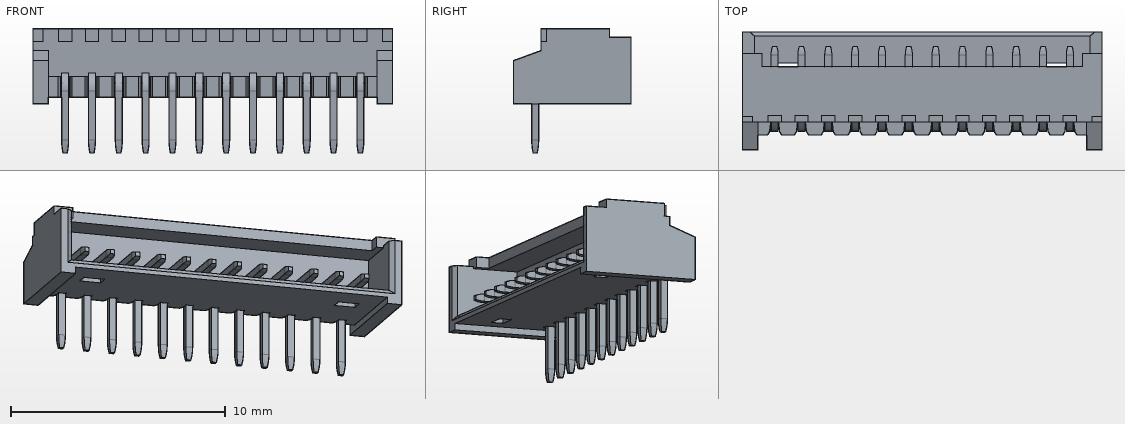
import cadquery as cq


length = 16.75
depth = 5.5
height = 3.5
floor_bottom = 0.3
front_face_y = 1.29

plate_thickness = 0.72
arm_front_height = 2.01
arm_root_height = 2.48
rear_step_depth = 1.0
rear_step_height = 0.4

side_wall = 0.57
front_wall = 1.0
floor_thickness = 0.4
roof_thickness = 0.5
mouth_chamfer_depth = 0.2
mouth_chamfer_width = 0.23
roof_setback = 1.62
roof_tab_width = 0.92

pin_count = 12
pin_row_length = 13.75
pitch = pin_row_length / (pin_count - 1)
pin_size = 0.34
pin_drop = 2.3
pin_front_y = 0.85
bend_start_z = 0.6
bend_outer_radius = 1.0
pin_end_gap = 0.69
tip_size = 0.2
mating_tip_length = 0.4
board_tip_length = 0.6

notch_width = 0.62
notch_depth = 0.3
notch_height = 0.6
corner_notch_width = 0.47
corner_notch_depth = 0.27

rib_top = 1.27
rib_depth = 0.6
rib_draft_depth = 0.44
gap_root_width = 0.35
gap_neck_width = 0.45
gap_mouth_width = 0.65

window_width = 1.0
window_length = 0.6
window_setback = 1.45

half_length = length / 2
cavity_floor_z = floor_bottom + floor_thickness
pin_positions = [(i - (pin_count - 1) / 2) * pitch for i in range(pin_count)]


def box(x_min, x_max, y_min, y_max, z_min, z_max):
    size = (x_max - x_min, y_max - y_min, z_max - z_min)
    return cq.Workplane("XY").box(*size, centered=False).translate((x_min, y_min, z_min))


def side_profile(points, x_min, x_max):
    """Closed (y, z) outline extruded along X."""
    return cq.Workplane("YZ", origin=(x_min, 0, 0)).polyline(points).close().extrude(x_max - x_min)


def end_plate(x_min):
    outline = [
        (0, 0),
        (depth, 0),
        (depth, height - rear_step_height),
        (depth - rear_step_depth, height - rear_step_height),
        (depth - rear_step_depth, height),
        (front_face_y, height),
        (front_face_y, arm_root_height),
        (0, arm_front_height),
    ]
    return side_profile(outline, x_min, x_min + plate_thickness)


def cavity():
    """Pocket open at the +Y face, its mouth flared at the floor and the side walls."""
    inner_y = front_face_y + front_wall
    half_width = half_length - side_wall
    flare_y = depth - mouth_chamfer_depth
    flared_half_width = half_width + mouth_chamfer_width
    plan = (
        cq.Workplane("XY")
        .polyline([
            (-half_width, inner_y),
            (half_width, inner_y),
            (half_width, flare_y),
            (flared_half_width, depth),
            (-flared_half_width, depth),
            (-half_width, flare_y),
        ])
        .close()
        .extrude(height)
    )
    ceiling_z = height - roof_thickness
    roof_end_y = depth - rear_step_depth
    section = side_profile(
        [
            (inner_y, cavity_floor_z),
            (flare_y, cavity_floor_z),
            (depth, cavity_floor_z - mouth_chamfer_depth),
            (depth, height),
            (roof_end_y, height),
            (roof_end_y, ceiling_z),
            (inner_y, ceiling_z),
        ],
        -half_length,
        half_length,
    )
    return plan.intersect(section)


def roof_cutback():
    half_width = half_length - roof_tab_width
    roof_bottom = height - roof_thickness
    return box(-half_width, half_width, depth - roof_setback, depth, roof_bottom, height)


def roof_notch(x_min, x_max, notch_y_depth):
    return box(x_min, x_max, front_face_y, front_face_y + notch_y_depth, height - notch_height, height)


def floor_window(x_center):
    window_end_y = depth - window_setback
    return box(
        x_center - window_width / 2,
        x_center + window_width / 2,
        window_end_y - window_length,
        window_end_y,
        floor_bottom,
        cavity_floor_z,
    )


def rib_bar():
    half_width = half_length - plate_thickness
    return box(-half_width, half_width, front_face_y - rib_depth, front_face_y, floor_bottom, rib_top)


def rib_gap(x_center):
    """Gap around a pin, slightly drafted at the wall and flared at the front."""
    neck_y = front_face_y - rib_draft_depth
    mouth_y = front_face_y - rib_depth
    right_side = [
        (gap_root_width / 2, front_face_y),
        (gap_neck_width / 2, neck_y),
        (gap_mouth_width / 2, mouth_y),
    ]
    left_side = [(-x, y) for x, y in reversed(right_side)]
    return (
        cq.Workplane("XY", origin=(x_center, 0, floor_bottom))
        .polyline(right_side + left_side)
        .close()
        .extrude(rib_top - floor_bottom)
    )


def pin_tip(tip_length):
    """Square tip along +Z whose four sides curve inward from the full pin size."""
    half_pin = pin_size / 2
    half_tip = tip_size / 2
    inset = half_pin - half_tip
    arc_radius = (tip_length**2 + inset**2) / (2 * inset)
    mid_z = tip_length / 2
    mid_x = half_pin - arc_radius + (arc_radius**2 - mid_z**2) ** 0.5

    def curved_slab(plane):
        return (
            cq.Workplane(plane)
            .moveTo(-half_pin, 0)
            .lineTo(half_pin, 0)
            .threePointArc((mid_x, mid_z), (half_tip, tip_length))
            .lineTo(-half_tip, tip_length)
            .threePointArc((-mid_x, mid_z), (-half_pin, 0))
            .close()
            .extrude(half_pin, both=True)
        )

    return curved_slab("XZ").intersect(curved_slab("YZ"))


def bent_pin():
    """One pin centred on X = 0."""
    half_pin = pin_size / 2
    leg_y = pin_front_y + half_pin
    bend_radius = bend_outer_radius - half_pin
    mating_z = bend_start_z + bend_radius
    board_tip_z = board_tip_length - pin_drop
    mating_tip_y = depth - pin_end_gap - mating_tip_length
    path = (
        cq.Workplane("YZ")
        .moveTo(leg_y, board_tip_z)
        .lineTo(leg_y, bend_start_z)
        .radiusArc((leg_y + bend_radius, mating_z), bend_radius)
        .lineTo(mating_tip_y, mating_z)
    )
    shaft = cq.Workplane("XY", origin=(0, leg_y, board_tip_z)).rect(pin_size, pin_size).sweep(path)
    board_tip = (
        pin_tip(board_tip_length)
        .rotate((0, 0, 0), (1, 0, 0), 180)
        .translate((0, leg_y, board_tip_z))
    )
    mating_tip = (
        pin_tip(mating_tip_length)
        .rotate((0, 0, 0), (1, 0, 0), -90)
        .translate((0, mating_tip_y, mating_z))
    )
    return shaft.union(board_tip).union(mating_tip)


housing = box(-half_length, half_length, front_face_y, depth, floor_bottom, height - rear_step_height)
housing = housing.union(
    box(-half_length, half_length, front_face_y, depth - rear_step_depth, floor_bottom, height)
)
housing = housing.union(end_plate(-half_length)).union(end_plate(half_length - plate_thickness))
housing = housing.cut(cavity()).cut(roof_cutback())
housing = housing.union(rib_bar())

for pin_x in pin_positions:
    housing = housing.cut(roof_notch(pin_x - notch_width / 2, pin_x + notch_width / 2, notch_depth))
    housing = housing.cut(rib_gap(pin_x))

housing = housing.cut(roof_notch(-half_length, corner_notch_width - half_length, corner_notch_depth))
housing = housing.cut(roof_notch(half_length - corner_notch_width, half_length, corner_notch_depth))
outer_gap_x = pin_positions[-1] - pitch / 2
for window_x in (-outer_gap_x, outer_gap_x):
    housing = housing.cut(floor_window(window_x))

result = housing
pin = bent_pin()
for pin_x in pin_positions:
    result = result.union(pin.translate((pin_x, 0, 0)))